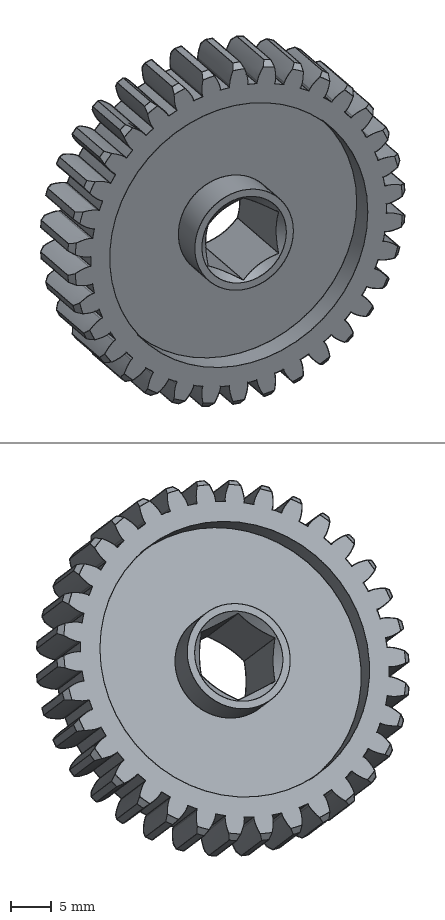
import cadquery as cq
import math

INCH = 25.4

tooth_count = 34
diametral_pitch = 20
module = INCH / diametral_pitch
pressure_angle = math.radians(20)
dedendum_factor = 1.25
face_width = 0.375 * INCH
tip_chamfer = 0.7
flank_points = 6

hub_length = 0.5 * INCH
hub_diameter = 0.525 * INCH
pocket_diameter = 1.375 * INCH
pocket_depth = 0.13 * INCH
hex_across_flats = 0.375 * INCH
countersink_diameter = 0.45 * INCH
countersink_half_angle = math.radians(45)

pitch_radius = tooth_count * module / 2
tip_radius = pitch_radius + module
root_radius = pitch_radius - dedendum_factor * module
base_radius = pitch_radius * math.cos(pressure_angle)
tooth_pitch_angle = 2 * math.pi / tooth_count

hex_across_corners = hex_across_flats / math.cos(math.pi / 6)


def involute(angle):
    return math.tan(angle) - angle


def polar(radius, angle):
    """Point in the YZ plane, with the angle measured from +Z."""
    return (radius * math.sin(angle), radius * math.cos(angle))


def half_tooth_angle(radius):
    """Angle from the tooth centreline to its involute flank at a radius."""
    flank_angle = math.acos(min(1.0, base_radius / radius))
    return tooth_pitch_angle / 4 + involute(pressure_angle) - involute(flank_angle)


def add_tooth(outline, centre_angle):
    """Extend the outline over one tooth and the root of the gap after it."""
    flank_step = (tip_radius - base_radius) / (flank_points - 1)
    radii = [base_radius + flank_step * i for i in range(flank_points)]
    rising = [polar(r, centre_angle - half_tooth_angle(r)) for r in radii]
    falling = [polar(r, centre_angle + half_tooth_angle(r)) for r in reversed(radii)]
    root_half_angle = half_tooth_angle(base_radius)
    gap_angle = centre_angle + tooth_pitch_angle / 2
    next_tooth_angle = centre_angle + tooth_pitch_angle
    return (
        outline.lineTo(*rising[0])
        .spline(rising[1:], includeCurrent=True)
        .threePointArc(polar(tip_radius, centre_angle), falling[0])
        .spline(falling[1:], includeCurrent=True)
        .lineTo(*polar(root_radius, centre_angle + root_half_angle))
        .threePointArc(polar(root_radius, gap_angle), polar(root_radius, next_tooth_angle - root_half_angle))
    )


def toothed_blank():
    start_angle = -half_tooth_angle(base_radius)
    outline = cq.Workplane("YZ", origin=(-face_width / 2, 0, 0)).moveTo(*polar(root_radius, start_angle))
    for i in range(tooth_count):
        outline = add_tooth(outline, i * tooth_pitch_angle)
    return outline.close().extrude(face_width)


def chamfered_envelope():
    """Disc with chamfered rims that trims the tooth ends."""
    return cq.Workplane("YZ").circle(tip_radius).extrude(face_width / 2, both=True).edges().chamfer(tip_chamfer)


def cylinder(diameter, length, centre_x=0):
    start = (centre_x - length / 2, 0, 0)
    return cq.Workplane("YZ", origin=start).circle(diameter / 2).extrude(length)


def countersink(side):
    """Cone that opens the bore at one hub end; side is -1 or +1."""
    end_x = side * hub_length / 2
    apex_x = side * (hub_length / 2 - countersink_diameter / 2 / math.tan(countersink_half_angle))
    profile = cq.Workplane("XY").polyline([(end_x, 0), (end_x, countersink_diameter / 2), (apex_x, 0)]).close()
    return profile.revolve(360, (0, 0, 0), (1, 0, 0))


def hex_bore():
    """Hexagonal through hole with corners on the Z axis."""
    hexagon = cq.Workplane("YZ").transformed(rotate=(0, 0, 90)).polygon(6, hex_across_corners)
    return hexagon.extrude(hub_length / 2, both=True)


gear = toothed_blank().intersect(chamfered_envelope())

for side in (-1, 1):
    pocket_centre = side * (face_width - pocket_depth) / 2
    gear = gear.cut(cylinder(pocket_diameter, pocket_depth, pocket_centre))

gear = gear.union(cylinder(hub_diameter, hub_length)).cut(hex_bore())

for side in (-1, 1):
    gear = gear.cut(countersink(side))

result = gear